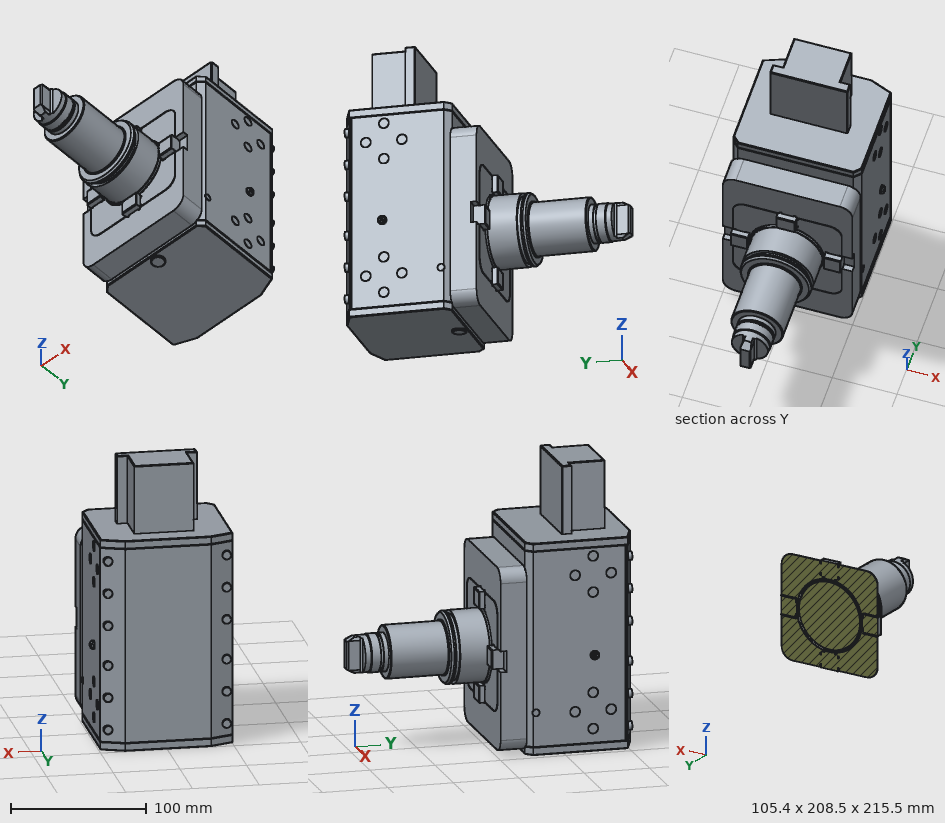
import cadquery as cq
import math

EDGE = 0.6

HOUSING_WIDTH = 99.0
HOUSING_DEPTH = 84.0
HOUSING_TOP = 88.3
HOUSING_BOTTOM = -73.5
PLATE_THICKNESS = 5.8
FRONT_CORNER = 5.0
REAR_SLOPE_X = 17.5
REAR_SLOPE_Y = 6.7
SEAM_DEPTH = 0.32
SEAM_WIDTH = 0.6
COVER_DEPTH = 8.5

FLANGE_WIDTH = 100.0
FLANGE_HEIGHT = 139.5
FLANGE_THICKNESS = 20.0
CORNER_RADIUS = 10.0
PAD_SIZE = 84.0
PAD_RISE = 0.5
KEY_SLOT_WIDTH = 16.0
KEY_SLOT_DEPTH = 4.5

KEY_WIDTH = 14.6
KEY_RISE = 4.7
KEY_INNER = 29.3
KEY_OUTER = 42.5
KEY_COUNT = 4
RELIEF_DIAMETER = 1.7
RELIEF_FROM_CORNER = 2.0
RELIEF_DEPTH = 1.0
BORE_RADIUS = 28.5

NECK_RADIUS = 26.7
COLLAR_RADIUS = 55.0 / 2
RING_GROOVE_RADIUS = 50.2 / 2
RING_RADIUS = 54.7 / 2
RING_REAR_RADIUS = 26.7
RING_FACE_RADIUS = 26.0
SHAFT_ROOT_RADIUS = 20.9
SHAFT_RADIUS = 40.0 / 2
NOSE_RADIUS = 29.0 / 2
NOSE_GROOVE_RADIUS = 13.4
TIP_RADIUS = 28 / 2
COLLAR_START = 1.7
COLLAR_END = 24.3
RING_START = 27.1
RING_CREST_START = 27.8
RING_CREST_END = 29.0
RING_END = 30.8
SHAFT_ROOT_END = 31.7
SHAFT_END = 75.4
NOSE_GROOVE_START = 79.0
NOSE_GROOVE_END = 81.2
NOSE_END = 88.7
TANG_START = 93.0
TANG_TAPER_START = 98.2
TANG_END = 104.5
TANG_THICKNESS = 8.0
TANG_FILLET = 1.3
TANG_END_HALF_HEIGHT = 10.5
TANG_END_BREAK = 1.3
TANG_FLAT_HALF_HEIGHT = 11.2
TANG_FLAT_BEVEL = 1.3

BLOCK_TOP = 140.5
BLOCK_REAR_GAP = 16.8
BLOCK_STEM_WIDTH = 44.4
BLOCK_STEM_DEPTH = 27.3
BLOCK_HEAD_WIDTH = 59.9
BLOCK_HEAD_DEPTH = 7.5

SCREW_DIAMETER = 6.5
SCREW_X = 44.4
SCREW_TOP_GAP = 2.5
SCREW_LENGTH = 8.6
SCREW_PITCH = 24.8
SCREW_FIRST_OFFSET = 15.3
SCREWS_PER_GROUP = 3

PLUG_DIAMETER = 7.5
PLUG_RECESS = 0.2
PLUG_CIRCLE_RADIUS = 13.8
PLUG_CIRCLE_REAR_GAP = 33.2
PLUG_CIRCLE_HEIGHTS = (61.8, -42.5)
PLUG_COUNT = 4
SIDE_PIN_DIAMETER = 5.4
SIDE_PIN_REAR_GAP = 76.9
SIDE_PIN_Z = -41.0
SIDE_PIN_RISE = 0.2
SIDE_PIN_LENGTH = 4.3
NIPPLE_REAR_GAP = 32.0
NIPPLE_RADIUS = 6.5 / 2
NIPPLE_CONE_RADIUS = 2.4
NIPPLE_TIP_RADIUS = 2.1 / 2
NIPPLE_END_RADIUS = 1.7 / 2
NIPPLE_DISC = 1.3
NIPPLE_CONE_END = 2.5
NIPPLE_LENGTH = 3.2
FOOT_DIAMETER = 11.0
FOOT_REAR_GAP = 77.0
FOOT_HEIGHT = 1.5

HOUSING_FRONT = FLANGE_THICKNESS
HOUSING_REAR = HOUSING_FRONT + HOUSING_DEPTH
HALF_WIDTH = HOUSING_WIDTH / 2
HOUSING_CENTER_Z = (HOUSING_TOP + HOUSING_BOTTOM) / 2
TOP_SEAM = HOUSING_TOP - PLATE_THICKNESS
BOTTOM_SEAM = HOUSING_BOTTOM + PLATE_THICKNESS
SIDES = (-1, 1)
KEY_ANGLES = [i * 360 / KEY_COUNT for i in range(KEY_COUNT)]


def housing_section(inset, bottom, top):
    """Prism with the housing outline, shrunk by inset, between two heights."""
    half = HALF_WIDTH
    outline = (
        cq.Workplane("XY", origin=(0, 0, bottom))
        .moveTo(-half, HOUSING_FRONT + FRONT_CORNER)
        .lineTo(-half + FRONT_CORNER, HOUSING_FRONT)
        .lineTo(half - FRONT_CORNER, HOUSING_FRONT)
        .lineTo(half, HOUSING_FRONT + FRONT_CORNER)
        .lineTo(half, HOUSING_REAR - REAR_SLOPE_Y)
        .lineTo(half - REAR_SLOPE_X, HOUSING_REAR)
        .lineTo(-half + REAR_SLOPE_X, HOUSING_REAR)
        .lineTo(-half, HOUSING_REAR - REAR_SLOPE_Y)
        .close()
    )
    if inset:
        outline = outline.offset2D(-inset, "intersection")
    return outline.extrude(top - bottom)


def seam_ring(bottom):
    """Cutter for a shallow groove around the whole housing."""
    top = bottom + SEAM_WIDTH
    return housing_section(0, bottom, top).cut(housing_section(SEAM_DEPTH, bottom, top))


def make_housing():
    body = housing_section(0, HOUSING_BOTTOM, HOUSING_TOP)
    body = body.faces("<Z or >Z").edges().chamfer(EDGE)
    body = body.cut(seam_ring(TOP_SEAM - SEAM_WIDTH)).cut(seam_ring(BOTTOM_SEAM))
    for side in SIDES:
        cover_seam = cq.Workplane("XY").box(2 * SEAM_DEPTH, SEAM_WIDTH, TOP_SEAM - BOTTOM_SEAM)
        seam_y = HOUSING_REAR - COVER_DEPTH
        body = body.cut(cover_seam.translate((side * HALF_WIDTH, seam_y, HOUSING_CENTER_Z)))
    return body


def make_flange():
    flange = (
        cq.Workplane("XZ", origin=(0, FLANGE_THICKNESS, 0))
        .rect(FLANGE_WIDTH, FLANGE_HEIGHT)
        .extrude(FLANGE_THICKNESS)
        .edges("|Y")
        .fillet(CORNER_RADIUS)
    )
    pad = (
        cq.Workplane("XZ", origin=(0, KEY_SLOT_DEPTH, 0))
        .rect(PAD_SIZE, PAD_SIZE)
        .extrude(KEY_SLOT_DEPTH + PAD_RISE)
        .edges("|Y")
        .fillet(CORNER_RADIUS)
    )
    flange = flange.union(pad)
    slot_length = FLANGE_WIDTH / 2 - KEY_INNER
    for side in SIDES:
        slot = (
            cq.Workplane("XZ", origin=(0, KEY_SLOT_DEPTH, 0))
            .center(side * (KEY_INNER + slot_length / 2), 0)
            .rect(slot_length, KEY_SLOT_WIDTH)
            .extrude(KEY_SLOT_DEPTH + PAD_RISE)
        )
        flange = flange.cut(slot)
    bore = (
        cq.Workplane("XZ", origin=(0, RELIEF_DEPTH, 0))
        .circle(BORE_RADIUS)
        .extrude(RELIEF_DEPTH + PAD_RISE)
    )
    flange = flange.cut(bore)
    for angle in KEY_ANGLES:
        flange = flange.cut(key_reliefs(angle))
    return flange


def key_reliefs(angle):
    """Cutter for the relief holes that peep out from under the edges of one key."""
    middle = (KEY_INNER + KEY_OUTER) / 2
    end_x = (KEY_OUTER - KEY_INNER) / 2
    edge_z = KEY_WIDTH / 2
    points = []
    for x_sign in SIDES:
        for z_sign in SIDES:
            points.append((middle + x_sign * (end_x - RELIEF_FROM_CORNER), z_sign * edge_z))
            points.append((middle + x_sign * end_x, z_sign * (edge_z - RELIEF_FROM_CORNER)))
    return (
        cq.Workplane("XZ", origin=(0, RELIEF_DEPTH, 0))
        .pushPoints(points)
        .circle(RELIEF_DIAMETER / 2)
        .extrude(RELIEF_DEPTH + PAD_RISE)
        .rotate((0, 0, 0), (0, 1, 0), angle)
    )


def make_key(angle):
    """Drive key seated at the slot depth, turned about the spindle axis."""
    return (
        cq.Workplane("XZ", origin=(0, KEY_SLOT_DEPTH, 0))
        .center((KEY_INNER + KEY_OUTER) / 2, 0)
        .rect(KEY_OUTER - KEY_INNER, KEY_WIDTH)
        .extrude(KEY_SLOT_DEPTH + KEY_RISE)
        .faces("<Y")
        .chamfer(EDGE)
        .rotate((0, 0, 0), (0, 1, 0), angle)
    )


def make_spindle():
    shaft = (
        cq.Workplane("XY")
        .moveTo(0, KEY_SLOT_DEPTH)
        .lineTo(NECK_RADIUS, KEY_SLOT_DEPTH)
        .lineTo(NECK_RADIUS, -COLLAR_START)
        .lineTo(COLLAR_RADIUS, -COLLAR_START)
        .lineTo(COLLAR_RADIUS, -COLLAR_END)
        .lineTo(RING_GROOVE_RADIUS, -COLLAR_END)
        .lineTo(RING_GROOVE_RADIUS, -RING_START)
        .lineTo(RING_REAR_RADIUS, -RING_START)
        .lineTo(RING_RADIUS, -RING_CREST_START)
        .lineTo(RING_RADIUS, -RING_CREST_END)
        .lineTo(RING_FACE_RADIUS, -RING_END)
        .lineTo(SHAFT_ROOT_RADIUS, -RING_END)
        .lineTo(SHAFT_ROOT_RADIUS, -SHAFT_ROOT_END)
        .lineTo(SHAFT_RADIUS, -SHAFT_ROOT_END)
        .lineTo(SHAFT_RADIUS, -SHAFT_END + EDGE)
        .lineTo(SHAFT_RADIUS - EDGE, -SHAFT_END)
        .lineTo(NOSE_RADIUS, -SHAFT_END)
        .lineTo(NOSE_RADIUS, -NOSE_GROOVE_START)
        .lineTo(NOSE_GROOVE_RADIUS, -NOSE_GROOVE_START)
        .lineTo(NOSE_GROOVE_RADIUS, -NOSE_GROOVE_END)
        .lineTo(NOSE_RADIUS, -NOSE_GROOVE_END)
        .lineTo(NOSE_RADIUS, -NOSE_END + EDGE)
        .lineTo(TIP_RADIUS, -NOSE_END)
        .lineTo(TIP_RADIUS, -TANG_END)
        .lineTo(0, -TANG_END)
        .close()
        .revolve(360, (0, 0, 0), (0, 1, 0))
    )
    for side in SIDES:
        shaft = shaft.cut(tang_relief(side)).cut(tang_end_taper(side))
        for flat_side in SIDES:
            shaft = shaft.cut(tang_edge_bevel(flat_side, side))
    return shaft


def tang_relief(side):
    """Cutter beside the tang, with a rounded inner corner and a broken tang end."""
    inner = side * TANG_THICKNESS / 2
    outer = side * NOSE_RADIUS
    return (
        cq.Workplane("XY", origin=(0, 0, -NOSE_RADIUS))
        .moveTo(outer, -TANG_START)
        .lineTo(inner + side * TANG_FILLET, -TANG_START)
        .radiusArc((inner, -TANG_START - TANG_FILLET), side * TANG_FILLET)
        .lineTo(inner, -TANG_END + TANG_END_BREAK)
        .lineTo(inner - side * EDGE, -TANG_END)
        .lineTo(outer, -TANG_END)
        .close()
        .extrude(2 * NOSE_RADIUS)
    )


def tang_end_taper(side):
    """Flat wedge cut off the upper (+1) or lower (-1) corner of the tang end."""
    return (
        cq.Workplane("YZ", origin=(-NOSE_RADIUS, 0, 0))
        .moveTo(-TANG_TAPER_START, side * TIP_RADIUS)
        .lineTo(-TANG_END, side * TANG_END_HALF_HEIGHT)
        .lineTo(-TANG_END, side * TIP_RADIUS)
        .close()
        .extrude(2 * NOSE_RADIUS)
    )


def tang_edge_bevel(flat_side, side):
    """Bevel between one flat of the tang and its round upper or lower edge."""
    flat = flat_side * TANG_THICKNESS / 2
    return (
        cq.Workplane("XZ", origin=(0, -TANG_START - TANG_FILLET, 0))
        .moveTo(flat, side * TANG_FLAT_HALF_HEIGHT)
        .lineTo(flat - flat_side * TANG_FLAT_BEVEL, side * TIP_RADIUS)
        .lineTo(flat, side * TIP_RADIUS)
        .close()
        .extrude(TANG_END - TANG_START - TANG_FILLET)
    )


def make_block():
    rear = HOUSING_REAR - BLOCK_REAR_GAP
    step = rear - BLOCK_STEM_DEPTH
    front = step - BLOCK_HEAD_DEPTH
    return (
        cq.Workplane("XY", origin=(0, 0, HOUSING_TOP))
        .moveTo(-BLOCK_STEM_WIDTH / 2, rear)
        .lineTo(BLOCK_STEM_WIDTH / 2, rear)
        .lineTo(BLOCK_STEM_WIDTH / 2, step)
        .lineTo(BLOCK_HEAD_WIDTH / 2, step)
        .lineTo(BLOCK_HEAD_WIDTH / 2, front)
        .lineTo(-BLOCK_HEAD_WIDTH / 2, front)
        .lineTo(-BLOCK_HEAD_WIDTH / 2, step)
        .lineTo(-BLOCK_STEM_WIDTH / 2, step)
        .close()
        .extrude(BLOCK_TOP - HOUSING_TOP)
        .faces("<Y")
        .edges("|Z")
        .chamfer(EDGE)
        .faces(">Z")
        .edges()
        .chamfer(EDGE)
    )


def make_cover_screws():
    """Two columns of screw heads standing out of the sloped rear corners."""
    offsets = [SCREW_FIRST_OFFSET + i * SCREW_PITCH for i in range(SCREWS_PER_GROUP)]
    points = [
        (column * SCREW_X, HOUSING_CENTER_Z + half * offset)
        for column in SIDES
        for half in SIDES
        for offset in offsets
    ]
    return (
        cq.Workplane("XZ", origin=(0, HOUSING_REAR - SCREW_TOP_GAP, 0))
        .pushPoints(points)
        .circle(SCREW_DIAMETER / 2)
        .extrude(SCREW_LENGTH)
    )


def side_discs(diameter, y, z, outer_x, length):
    """Pair of discs across the X direction, reaching from outer_x inwards on both sides."""
    left = (
        cq.Workplane("YZ", origin=(-outer_x, 0, 0))
        .center(y, z)
        .circle(diameter / 2)
        .extrude(length)
    )
    return left.union(left.mirror("YZ"))


def make_plug_recesses():
    """Cutters for the circles of plugs in both side faces."""
    circle_y = HOUSING_REAR - PLUG_CIRCLE_REAR_GAP
    recesses = cq.Workplane("XY")
    for center_z in PLUG_CIRCLE_HEIGHTS:
        for i in range(PLUG_COUNT):
            angle = math.radians(i * 360 / PLUG_COUNT)
            y = circle_y + PLUG_CIRCLE_RADIUS * math.cos(angle)
            z = center_z + PLUG_CIRCLE_RADIUS * math.sin(angle)
            recesses = recesses.add(side_discs(PLUG_DIAMETER, y, z, HALF_WIDTH, PLUG_RECESS))
    return recesses.combine()


def make_side_pins():
    """Pin in each side face, reaching just past the edge of the front corner cut."""
    pin_y = HOUSING_REAR - SIDE_PIN_REAR_GAP
    outer_x = HALF_WIDTH + SIDE_PIN_RISE
    return side_discs(SIDE_PIN_DIAMETER, pin_y, SIDE_PIN_Z, outer_x, SIDE_PIN_LENGTH)


def make_nipples():
    """Grease nipple on each side face, level with the spindle axis."""
    right = (
        cq.Workplane("XY")
        .lineTo(0, NIPPLE_RADIUS)
        .lineTo(NIPPLE_DISC, NIPPLE_RADIUS)
        .lineTo(NIPPLE_CONE_END, NIPPLE_CONE_RADIUS)
        .lineTo(NIPPLE_CONE_END, NIPPLE_TIP_RADIUS)
        .lineTo(NIPPLE_LENGTH, NIPPLE_END_RADIUS)
        .lineTo(NIPPLE_LENGTH, 0)
        .close()
        .revolve(360, (0, 0, 0), (1, 0, 0))
        .translate((HALF_WIDTH, HOUSING_REAR - NIPPLE_REAR_GAP, 0))
    )
    return right.union(right.mirror("YZ"))


def make_foot():
    return (
        cq.Workplane("XY", origin=(0, HOUSING_REAR - FOOT_REAR_GAP, HOUSING_BOTTOM))
        .circle(FOOT_DIAMETER / 2)
        .extrude(-FOOT_HEIGHT)
        .faces("<Z")
        .chamfer(EDGE)
    )


body = make_housing().cut(make_plug_recesses()).union(make_flange()).union(make_spindle())
for key_angle in KEY_ANGLES:
    body = body.union(make_key(key_angle))
for make_detail in (make_block, make_cover_screws, make_side_pins, make_nipples, make_foot):
    body = body.union(make_detail())
result = body